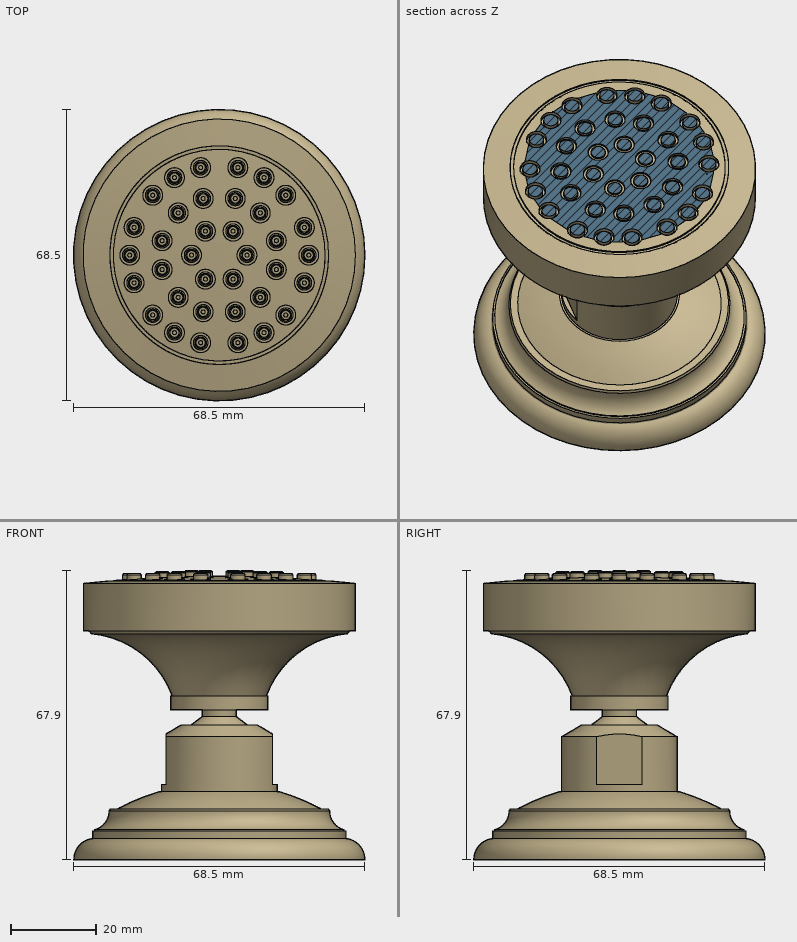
import cadquery as cq
import math

band_bottom = 5.0
band_top = 6.8
cove_floor = 6.9
cove_top = 11.45
shoulder_height = 12.0
body_bottom = 16.0
flat_bottom = 17.75
body_top = 28.9
body_cone_top = 31.7
neck_bottom = 33.6
collar_bottom = 35.2
collar_top = 38.5
flare_top = 53.1
rim_bottom = 53.75
rim_top = 64.9
dome_rise = 1.7

base_radius = 34.25
roll_radius = 5.1
band_radius = 29.8
shoulder_radius = 25.95
shoulder_top_radius = 25.6
cove_radius = cove_top - cove_floor
cove_sweep = 75
base_dome_radius = 23.9
base_dome_mid_radius = 19.0
base_dome_mid_height = 14.3
base_dome_top_radius = 14.1

body_radius = 13.6
body_cone_radius = 8.9
flat_distance = 12.5
ball_cone_radius = 6.6
neck_radius = 4.05

collar_radius = 11.45
flare_bottom_radius = 11.1
flare_mid_radius = 16.45
flare_mid_height = 46.8
flare_top_radius = 30.05
rim_lip_radius = 30.7
rim_radius = 32.0
groove_inner_radius = 24.85
groove_outer_radius = 25.7
groove_depth = 0.35

nozzle_radius = 1.7
nozzle_height = 1.4
nozzle_chamfer = 0.35
nozzle_recess_radius = 1.1
nozzle_recess_depth = 0.2
nozzle_bore_radius = 0.5
nozzle_bore_depth = 0.8
clearance_radius = 2.3
clearance_depth = 1.1
sector_angle = 60

nozzle_rings = [
    (6.5, [0]),
    (13.8, [sector_angle / 2 - 15.8, sector_angle / 2 + 15.8]),
    (21.0, [-18, 0, 18]),
]

face_sphere_radius = (rim_radius**2 + dome_rise**2) / (2 * dome_rise)


def face_height(radius):
    """Height of the domed spray face at a distance from the axis."""
    drop = face_sphere_radius - math.sqrt(face_sphere_radius**2 - radius**2)
    return rim_top + dome_rise - drop


def revolved(profile):
    """Turn a closed radius-height profile around the vertical axis."""
    return profile.close().revolve(360, (0, 0, 0), (0, 1, 0))


def make_base():
    roll_center = base_radius - roll_radius
    roll_end = roll_center + math.sqrt(roll_radius**2 - band_bottom**2)
    roll_mid_angle = math.asin(band_bottom / roll_radius) / 2
    roll_mid = (
        roll_center + roll_radius * math.cos(roll_mid_angle),
        roll_radius * math.sin(roll_mid_angle),
    )
    cove_center = shoulder_radius + cove_radius
    cove_end_angle = math.radians(cove_sweep)
    cove_points = [
        (
            cove_center - cove_radius * math.cos(angle),
            cove_top - cove_radius * math.sin(angle),
        )
        for angle in (cove_end_angle, cove_end_angle / 2)
    ]
    profile = (
        cq.Workplane("XZ")
        .lineTo(base_radius, 0)
        .threePointArc(roll_mid, (roll_end, band_bottom))
        .lineTo(band_radius, band_bottom)
        .lineTo(band_radius, band_top)
        .lineTo(cove_points[0][0], band_top)
        .lineTo(*cove_points[0])
        .threePointArc(cove_points[1], (shoulder_radius, cove_top))
        .lineTo(shoulder_top_radius, shoulder_height)
        .lineTo(base_dome_radius, shoulder_height)
        .threePointArc((base_dome_mid_radius, base_dome_mid_height), (base_dome_top_radius, body_bottom))
        .lineTo(0, body_bottom)
    )
    return revolved(profile)


def make_body():
    profile = (
        cq.Workplane("XZ")
        .moveTo(0, body_bottom)
        .lineTo(body_radius, body_bottom)
        .lineTo(body_radius, body_top)
        .lineTo(body_cone_radius, body_cone_top)
        .lineTo(ball_cone_radius, body_cone_top)
        .lineTo(neck_radius, neck_bottom)
        .lineTo(neck_radius, collar_bottom)
        .lineTo(0, collar_bottom)
    )
    flat_height = body_cone_top - flat_bottom
    flat_depth = body_radius - flat_distance
    body = revolved(profile)
    for side in (-1, 1):
        cutter = cq.Workplane("XY").box(
            flat_depth, 2 * body_radius, flat_height, centered=(True, True, False)
        )
        flat_center = side * (flat_distance + flat_depth / 2)
        body = body.cut(cutter.translate((flat_center, 0, flat_bottom)))
    return body


def make_head():
    profile = (
        cq.Workplane("XZ")
        .moveTo(0, collar_bottom)
        .lineTo(collar_radius, collar_bottom)
        .lineTo(collar_radius, collar_top)
        .lineTo(flare_bottom_radius, collar_top)
        .threePointArc((flare_mid_radius, flare_mid_height), (flare_top_radius, flare_top))
        .lineTo(rim_lip_radius, rim_bottom)
        .lineTo(rim_radius, rim_bottom)
        .lineTo(rim_radius, rim_top)
        .threePointArc((rim_radius / 2, face_height(rim_radius / 2)), (0, face_height(0)))
    )
    groove_floor = face_height(groove_outer_radius) - groove_depth
    groove = (
        cq.Workplane("XY", origin=(0, 0, groove_floor))
        .circle(groove_outer_radius)
        .circle(groove_inner_radius)
        .extrude(dome_rise)
    )
    return revolved(profile).cut(groove)


def nozzle_positions():
    return [
        (ring_radius, offset + sector * sector_angle)
        for ring_radius, offsets in nozzle_rings
        for sector in range(360 // sector_angle)
        for offset in offsets
    ]


def make_nozzle(ring_radius):
    """Nozzle at the given distance along X, standing on the floor of its clearance."""
    floor = face_height(ring_radius) - clearance_depth
    body_height = clearance_depth + nozzle_height
    return (
        cq.Workplane("XY", origin=(ring_radius, 0, floor))
        .circle(nozzle_radius)
        .extrude(body_height)
        .faces(">Z")
        .chamfer(nozzle_chamfer)
        .faces(">Z")
        .workplane(centerOption="CenterOfBoundBox")
        .cboreHole(
            2 * nozzle_bore_radius,
            2 * nozzle_recess_radius,
            nozzle_recess_depth,
            nozzle_bore_depth,
        )
    )


def make_clearance(ring_radius):
    """Round pocket in the spray face that the nozzle stands in."""
    floor = face_height(ring_radius) - clearance_depth
    return (
        cq.Workplane("XY", origin=(ring_radius, 0, floor))
        .circle(clearance_radius)
        .extrude(clearance_depth + nozzle_height)
    )


def placed_copies(make_shape):
    """One compound holding a copy of the shape at every nozzle position."""
    copies = [
        make_shape(ring_radius).rotate((0, 0, 0), (0, 0, 1), angle).val()
        for ring_radius, angle in nozzle_positions()
    ]
    return cq.Workplane("XY").newObject([cq.Compound.makeCompound(copies)])


head = make_head().cut(placed_copies(make_clearance)).union(placed_copies(make_nozzle))
result = make_base().union(make_body()).union(head)